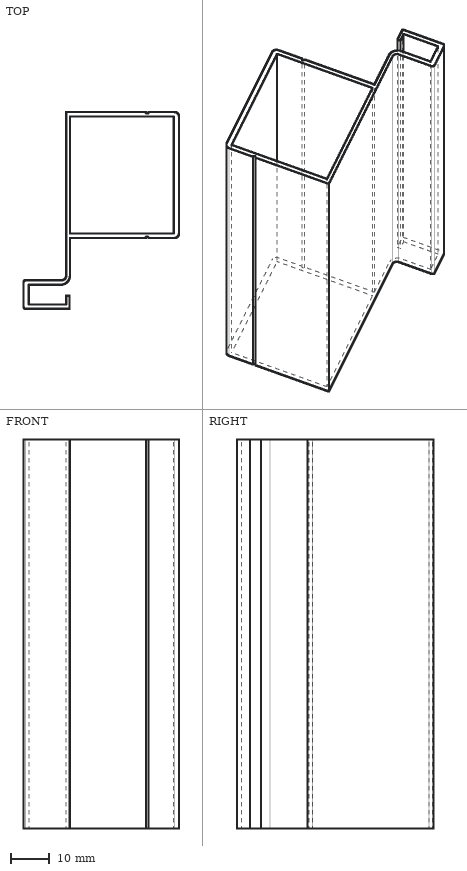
import cadquery as cq

length = 100.0
width = 40.0
depth = 50.6

web_wall = 1.0
tube_wall = 1.2
tube_side_wall = 1.4
hook_wall = 1.2
hook_side_wall = 1.4

tube_width = 29.0
tube_depth = 32.4
tube_corner_radius = 1.2

hook_depth = 7.4
lip_height = 3.4
lip_setback = 0.15
hook_corner_radius = 0.6
bend_inner_radius = 1.2

groove_radius = 0.35
groove_center = 31.8

web_left = width - tube_width
web_right = web_left + web_wall
lip_right = web_right - lip_setback
tube_front = depth - tube_depth
bend_outer_radius = bend_inner_radius + hook_wall


def bar(x_min, x_max, y_min, y_max):
    """Rectangular bar running the full length of the profile."""
    return cq.Workplane("XY").box(
        x_max - x_min, y_max - y_min, length, centered=False
    ).translate((x_min, y_min, 0))


def make_tube():
    outer = bar(web_left, width, tube_front, depth)
    outer = outer.edges("|Z and >X").fillet(tube_corner_radius)
    cavity = bar(web_right, width - tube_side_wall, tube_front + tube_wall, depth - tube_wall)
    return outer.cut(cavity)


def make_web_and_hook():
    """Web running down from the tube and bent into an open channel with a return lip."""
    hook_inner_top = hook_depth - hook_wall
    profile = (
        cq.Workplane("XY")
        .moveTo(web_left, depth - tube_wall)
        .lineTo(web_left, hook_depth + bend_inner_radius)
        .radiusArc((web_left - bend_inner_radius, hook_depth), bend_inner_radius)
        .lineTo(0, hook_depth)
        .lineTo(0, 0)
        .lineTo(lip_right, 0)
        .lineTo(lip_right, lip_height)
        .lineTo(web_left, lip_height)
        .lineTo(web_left, hook_wall)
        .lineTo(hook_side_wall, hook_wall)
        .lineTo(hook_side_wall, hook_inner_top)
        .lineTo(web_right - bend_outer_radius, hook_inner_top)
        .radiusArc((web_right, hook_inner_top + bend_outer_radius), -bend_outer_radius)
        .lineTo(web_right, depth - tube_wall)
        .close()
    )
    return profile.extrude(length).edges("|Z and <X").fillet(hook_corner_radius)


def make_groove(face_y):
    """Round cutter centred on a face, leaving a half-round groove."""
    return cq.Workplane("XY").center(groove_center, face_y).circle(groove_radius).extrude(length)


result = make_tube().union(make_web_and_hook())
for face_y in (tube_front, depth):
    result = result.cut(make_groove(face_y))